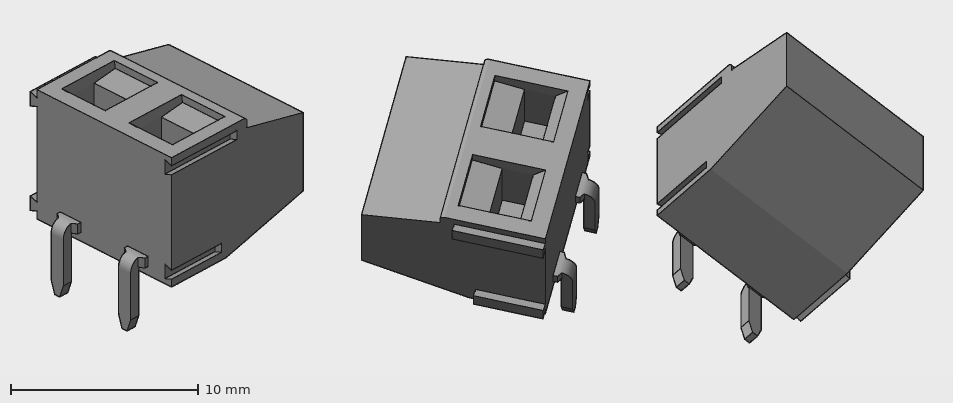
import cadquery as cq


poles = 2
housing_width = 10.0
pitch = housing_width / poles
housing_depth = 10.1
housing_height = 8.09
back_bottom = 1.58
back_top = 6.49
underside_depth = 4.17
head_depth = 5.79
head_foot = 7.43
head_radius = 0.28

dovetail_reach = 0.5
dovetail_outer_height = 0.91
dovetail_root_height = 0.56
upper_rail = (7.31, 5.0)
lower_rail = (0.78, 3.83)

mouth_width = 3.21
mouth_front = 0.99
mouth_back = 5.0
shaft_width = 3.01
shaft_front = 1.65
shaft_back = 3.35
funnel_depth = 0.64
back_wall_depth = 0.46
shaft_depth = housing_height / 2

pin_reach = 1.0
pin_drop = 3.31
pin_thickness = 0.63
pin_width = 0.91
pin_offset = -0.02
pin_top = 1.19
bend_radius = 0.76
tip_width = 0.36
tip_length = 0.81
shoulder_width = 1.53
shoulder_straight = 0.24
shoulder_reach = 0.42
pin_embed = 0.34


def make_housing():
    """Extrude the side profile across the full width."""
    profile = (
        cq.Workplane("YZ")
        .moveTo(0, 0)
        .lineTo(underside_depth, 0)
        .lineTo(housing_depth, back_bottom)
        .lineTo(housing_depth, back_top)
        .lineTo(head_depth, head_foot)
        .lineTo(head_depth, housing_height - head_radius)
        .radiusArc((head_depth - head_radius, housing_height), -head_radius)
        .lineTo(0, housing_height)
        .close()
    )
    return profile.extrude(housing_width)


def make_dovetail(root_x, mid_height, length):
    """Dovetail bar running back from the front face, widening toward -X from its root."""
    half_root = dovetail_root_height / 2
    half_outer = dovetail_outer_height / 2
    outer_x = root_x - dovetail_reach
    return (
        cq.Workplane("XZ")
        .polyline([
            (root_x, mid_height - half_root),
            (root_x, mid_height + half_root),
            (outer_x, mid_height + half_outer),
            (outer_x, mid_height - half_outer),
        ])
        .close()
        .extrude(-length)
    )


def make_well(center_x):
    """Screw well: a funnel with sloping sides, front and rear ramp, above a straight shaft."""
    funnel_bottom = housing_height - funnel_depth
    half_mouth = mouth_width / 2
    half_shaft = shaft_width / 2
    tapered_block = (
        cq.Workplane("XZ", origin=(center_x, mouth_front, 0))
        .polyline([
            (-half_mouth, housing_height),
            (half_mouth, housing_height),
            (half_shaft, funnel_bottom),
            (-half_shaft, funnel_bottom),
        ])
        .close()
        .extrude(mouth_front - mouth_back)
    )
    lengthwise_profile = (
        cq.Workplane("YZ", origin=(center_x, 0, 0))
        .polyline([
            (mouth_front, housing_height),
            (mouth_back, housing_height),
            (mouth_back, housing_height - back_wall_depth),
            (shaft_back, funnel_bottom),
            (shaft_front, funnel_bottom),
        ])
        .close()
        .extrude(half_mouth, both=True)
    )
    shaft_middle = (shaft_front + shaft_back) / 2
    shaft = (
        cq.Workplane("XY", origin=(center_x, shaft_middle, funnel_bottom))
        .rect(shaft_width, shaft_back - shaft_front)
        .extrude(funnel_depth - shaft_depth)
    )
    return tapered_block.intersect(lengthwise_profile).union(shaft)


def make_pin(center_x):
    """Right-angle solder pin with a pointed tip and a shouldered root."""
    pin_inner = pin_thickness - pin_reach
    root_bottom = pin_top - pin_thickness
    half_pin = pin_width / 2
    half_tip = tip_width / 2
    half_shoulder = shoulder_width / 2
    tip_start = tip_length - pin_drop

    bent_strip = (
        cq.Workplane("YZ", origin=(center_x, 0, 0))
        .moveTo(pin_embed, pin_top)
        .lineTo(bend_radius - pin_reach, pin_top)
        .radiusArc((-pin_reach, pin_top - bend_radius), -bend_radius)
        .lineTo(-pin_reach, -pin_drop)
        .lineTo(pin_inner, -pin_drop)
        .lineTo(pin_inner, root_bottom)
        .lineTo(pin_embed, root_bottom)
        .close()
        .extrude(half_shoulder, both=True)
    )
    leg = (
        cq.Workplane("XZ", origin=(center_x + pin_offset, pin_embed, 0))
        .polyline([
            (-half_pin, pin_top),
            (half_pin, pin_top),
            (half_pin, tip_start),
            (half_tip, -pin_drop),
            (-half_tip, -pin_drop),
            (-half_pin, tip_start),
        ])
        .close()
        .extrude(pin_embed + pin_reach)
    )
    shoulder = (
        cq.Workplane("XY", origin=(center_x, 0, pin_top))
        .polyline([
            (-half_shoulder, pin_embed),
            (half_shoulder, pin_embed),
            (half_shoulder, -shoulder_straight),
            (pin_offset + half_pin, -shoulder_reach),
            (pin_offset - half_pin, -shoulder_reach),
            (-half_shoulder, -shoulder_straight),
        ])
        .close()
        .extrude(-pin_thickness)
    )
    return leg.union(shoulder).intersect(bent_strip)


result = make_housing()

for rail_height, rail_length in (upper_rail, lower_rail):
    result = result.union(make_dovetail(0, rail_height, rail_length))
    result = result.cut(make_dovetail(housing_width, rail_height, rail_length))

for pole in range(poles):
    pole_x = (pole + 0.5) * pitch
    result = result.cut(make_well(pole_x))
    result = result.union(make_pin(pole_x))